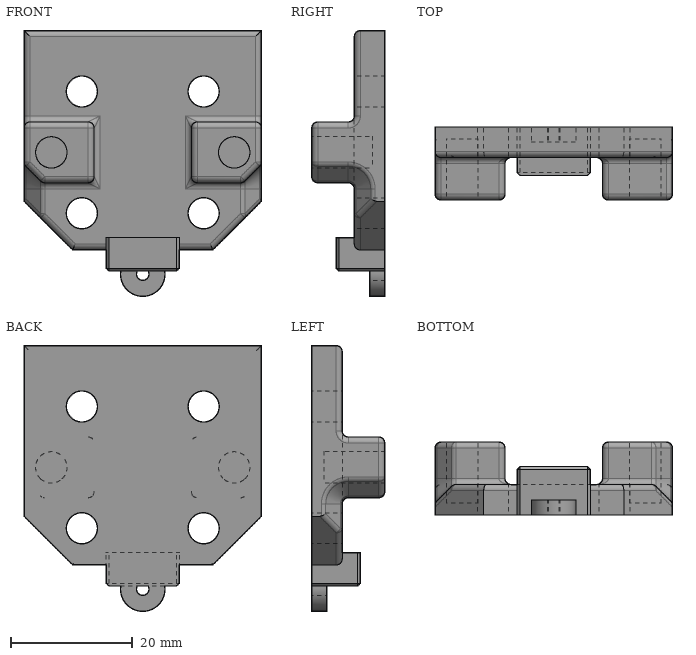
import cadquery as cq

total_height = 43.65
total_depth = 12.0

plate_width = 39.0
plate_height = 36.0
plate_thickness = 5.0
corner_cut = 8.0
bolt_hole_diameter = 5.05
bolt_spacing = 20.0

boss_inner_x = 8.0
boss_height = 10.0
boss_center_below_top = 20.0
boss_hole_diameter = 5.15
boss_hole_x = 15.0
boss_hole_depth = 10.0

side_bevel = 3.0
edge_radius = 1.0

tab_width = 12.0
tab_height = 5.5
tab_depth = 8.0
tab_top_below_top = 34.0
tab_chamfer = 0.5
lug_radius = 3.65
lug_thickness = 2.5
lug_hole_diameter = 2.0

half_width = plate_width / 2
plate_bottom = total_height - plate_height
boss_center_z = total_height - boss_center_below_top
boss_bottom = boss_center_z - boss_height / 2
root_bottom = boss_bottom - edge_radius
tab_top = total_height - tab_top_below_top

tolerance = 0.005


def back_plane():
    """Workplane on the back face; positive extrusion runs toward the front (-Y)."""
    return cq.Workplane("XZ")


def same(a, b):
    return abs(a - b) < tolerance


def edges_where(body, condition):
    """Edges of the body whose bounding box meets the condition."""
    picked = [edge for edge in body.edges().vals() if condition(edge.BoundingBox())]
    return body.newObject(picked)


def on_side(box):
    """True for an edge lying in the left or right side face."""
    return same(box.xmin, box.xmax) and same(abs(box.xmin), half_width)


def at_depth(box, depth):
    """True for an edge lying in the plane at this distance from the back."""
    return same(box.ymin, -depth) and same(box.ymax, -depth)


def clear_of_back(box):
    """True for an edge that does not touch the back face."""
    return box.ymax < -tolerance


def make_plate():
    cut_x = half_width - corner_cut
    cut_z = plate_bottom + corner_cut
    outline = [
        (-half_width, total_height),
        (half_width, total_height),
        (half_width, cut_z),
        (cut_x, plate_bottom),
        (-cut_x, plate_bottom),
        (-half_width, cut_z),
    ]
    return back_plane().polyline(outline).close().extrude(plate_thickness)


def make_boss(side):
    width = half_width - boss_inner_x
    center_x = side * (boss_inner_x + width / 2)
    return back_plane().center(center_x, boss_center_z).rect(width, boss_height).extrude(total_depth)


def fillet_boss_roots(body):
    """Concave fillets where the bosses rise from the plate."""

    def is_root(box):
        beside_boss = abs(box.center.z - boss_center_z) < boss_height / 2 + tolerance
        return at_depth(box, plate_thickness) and beside_boss and not on_side(box)

    return edges_where(body, is_root).fillet(edge_radius)


def bevel_sides(body):
    """Bevel along the outer lower edge of each boss, around its root and down the plate."""

    def is_lower_side(box):
        return on_side(box) and clear_of_back(box) and box.zmax < boss_bottom + tolerance

    return edges_where(body, is_lower_side).chamfer(side_bevel)


def round_outer_edges(body):
    """Convex fillets on every sharp edge away from the back face."""

    def is_sharp(box):
        outside_roots = same(box.zmin, total_height) or box.zmin < root_bottom - tolerance
        plate_rim = box.ymin > -plate_thickness - tolerance and outside_roots
        boss_front = at_depth(box, total_depth)
        boss_corner = same(box.ymin, -total_depth) and same(box.zmin, box.zmax) and same(box.xmin, box.xmax)
        return clear_of_back(box) and (on_side(box) or plate_rim or boss_front or boss_corner)

    return edges_where(body, is_sharp).fillet(edge_radius)


def drill_bolt_holes(body):
    holes = (
        back_plane()
        .center(0, boss_center_z)
        .rect(bolt_spacing, bolt_spacing, forConstruction=True)
        .vertices()
        .circle(bolt_hole_diameter / 2)
        .extrude(plate_thickness)
    )
    return body.cut(holes)


def drill_boss_holes(body):
    holes = (
        cq.Workplane("XZ", origin=(0, -total_depth, boss_center_z))
        .pushPoints([(-boss_hole_x, 0), (boss_hole_x, 0)])
        .circle(boss_hole_diameter / 2)
        .extrude(-boss_hole_depth)
    )
    return body.cut(holes)


def make_tab():
    """Block chamfered along its front side edges, front bottom edge and the two bottom side edges."""
    block = back_plane().center(0, tab_top - tab_height / 2).rect(tab_width, tab_height).extrude(tab_depth)
    return block.edges("(<Y and (not >Z)) or (<Z and |Y)").chamfer(tab_chamfer)


def make_lug():
    """Rounded lug with a pin hole, reaching up behind the bottom of the tab."""
    return (
        back_plane()
        .center(0, lug_radius)
        .circle(lug_radius)
        .circle(lug_hole_diameter / 2)
        .extrude(lug_thickness)
    )


body = make_plate()
for side in (-1, 1):
    body = body.union(make_boss(side))
body = fillet_boss_roots(body)
body = bevel_sides(body)
body = round_outer_edges(body)
body = drill_bolt_holes(body)
body = drill_boss_holes(body)
result = body.union(make_tab()).union(make_lug())